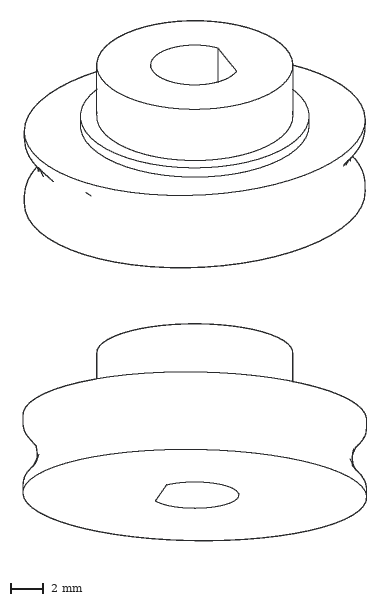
import cadquery as cq
import math

WHEEL_WIDTH_X = 18.65
WHEEL_LENGTH_Y = 21.15
WHEEL_HEIGHT = 4.97

GROOVE_RADIUS = 2.14
RIM_LAND = 0.5
LIP_RADIUS = 0.5
CUTTER_OVERHANG = 0.42

SHOULDER_DIAMETER = 14.0
SHOULDER_HEIGHT = 0.63
HUB_DIAMETER = 12.0
TOTAL_HEIGHT = 9.11

BORE_DIAMETER = 5.4
BORE_FLAT_Y = 2.11

RADIUS_X = WHEEL_WIDTH_X / 2
RADIUS_Y = WHEEL_LENGTH_Y / 2
MID_HEIGHT = WHEEL_HEIGHT / 2


def groove_section():
    """Groove cross-section in XZ, at the +X end of the oval."""
    half_mouth = MID_HEIGHT - RIM_LAND
    lip_angle = math.asin(half_mouth / (GROOVE_RADIUS + LIP_RADIUS))

    def lip_point(angle):
        inset = LIP_RADIUS * (1 - math.cos(angle))
        return RADIUS_X - inset, half_mouth - LIP_RADIUS * math.sin(angle)

    def at(point, side):
        x, offset = point
        return x, MID_HEIGHT + side * offset

    rim = (RADIUS_X, half_mouth)
    lip_middle = lip_point(lip_angle / 2)
    lip_end = lip_point(lip_angle)
    groove_depth = (GROOVE_RADIUS + LIP_RADIUS) * (1 - math.cos(lip_angle))
    floor = (RADIUS_X - groove_depth, 0)
    outside = RADIUS_X + CUTTER_OVERHANG
    return (
        cq.Workplane("XZ")
        .moveTo(*at(rim, -1))
        .threePointArc(at(lip_middle, -1), at(lip_end, -1))
        .threePointArc(at(floor, 1), at(lip_end, 1))
        .threePointArc(at(lip_middle, 1), at(rim, 1))
        .lineTo(outside, MID_HEIGHT + half_mouth)
        .lineTo(outside, MID_HEIGHT - half_mouth)
        .close()
    )


def grooved_wheel():
    """Oval disc with the groove swept along its outline."""
    disc = cq.Workplane("XY").ellipse(RADIUS_X, RADIUS_Y).extrude(WHEEL_HEIGHT)
    path = cq.Workplane("XY").ellipse(RADIUS_X, RADIUS_Y)
    return disc.cut(groove_section().sweep(path))


def cylinder(diameter, bottom, top):
    return cq.Workplane("XY").workplane(offset=bottom).circle(diameter / 2).extrude(top - bottom)


def bore():
    """Through bore with a flat on its +Y side."""
    half_flat = math.sqrt((BORE_DIAMETER / 2) ** 2 - BORE_FLAT_Y ** 2)
    return (
        cq.Workplane("XY")
        .moveTo(-half_flat, BORE_FLAT_Y)
        .threePointArc((0, -BORE_DIAMETER / 2), (half_flat, BORE_FLAT_Y))
        .close()
        .extrude(TOTAL_HEIGHT)
    )


shoulder_top = WHEEL_HEIGHT + SHOULDER_HEIGHT
result = (
    grooved_wheel()
    .union(cylinder(SHOULDER_DIAMETER, WHEEL_HEIGHT, shoulder_top))
    .union(cylinder(HUB_DIAMETER, shoulder_top, TOTAL_HEIGHT))
    .cut(bore())
)